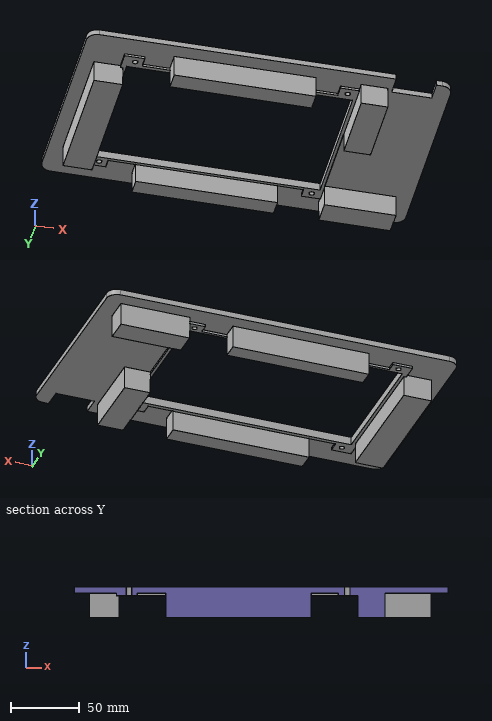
import cadquery as cq

plate_length = 271.4
plate_width = 158.2
plate_thickness = 4.7
corner_radius = 8.0

window_left = 34.9
window_right = 203.1
window_front = 28.6
window_back = 132.4

notch_left = 229.2
notch_right = 259.0
notch_depth = 15.0

total_height = 22.4
block_height = total_height - plate_thickness
blocks_left = 10.9
blocks_right = notch_right
blocks_front = 11.6
blocks_back = 147.3
left_block_inner = 32.5
left_block_front = 30.6
left_block_back = 129.3
middle_block_left = 66.3
middle_block_right = 172.0
front_block_inner = 25.4
back_block_inner = 134.7
right_blocks_inner = 205.6
front_right_block_end_x = 225.5
front_right_block_end_y = 67.0

rim_height = 1.8
pad_length = 15.2
pads_left = 30.6
pads_right = 206.6
pads_front = 16.9
pads_back = 142.1
hole_diameter = 3.8
hole_left = 39.7
hole_right = 198.1
hole_front = 22.2
hole_back = 137.4


def box_between(left, right, front, back, bottom, top):
    """Axis-aligned box given by its six faces."""
    size = (right - left, back - front, top - bottom)
    return cq.Workplane("XY").box(*size, centered=False).translate((left, front, bottom))


def make_plate():
    """Plate with rounded corners and the cable notch."""
    plate = box_between(0, plate_length, 0, plate_width, 0, plate_thickness)
    plate = plate.edges("|Z").fillet(corner_radius)
    notch = box_between(notch_left, notch_right, 0, notch_depth, 0, plate_thickness)
    return plate.cut(notch)


def make_blocks():
    """Left, front, back and two right-hand support blocks."""
    footprints = [
        (blocks_left, left_block_inner, left_block_front, left_block_back),
        (middle_block_left, middle_block_right, blocks_front, front_block_inner),
        (middle_block_left, middle_block_right, back_block_inner, blocks_back),
        (right_blocks_inner, front_right_block_end_x, blocks_front, front_right_block_end_y),
        (right_blocks_inner, blocks_right, left_block_back, blocks_back),
    ]
    return [box_between(*footprint, -block_height, 0) for footprint in footprints]


def make_rim():
    """Rim reaching out to the support blocks, and its four corner pads."""
    footprints = [(left_block_inner, right_blocks_inner, front_block_inner, back_block_inner)]
    for left, right in (
        (pads_left, pads_left + pad_length),
        (pads_right - pad_length, pads_right),
    ):
        footprints.append((left, right, pads_front, left_block_front))
        footprints.append((left, right, left_block_back, pads_back))
    return [box_between(*footprint, -rim_height, 0) for footprint in footprints]


def make_window():
    """Cutter for the window, through the plate and the rim."""
    return box_between(
        window_left, window_right, window_front, window_back, -rim_height, plate_thickness
    )


def make_holes():
    """Cutter for the four screw holes, through the plate and the pads."""
    centers = [(x, y) for x in (hole_left, hole_right) for y in (hole_front, hole_back)]
    return (
        cq.Workplane("XY", origin=(0, 0, -rim_height))
        .pushPoints(centers)
        .circle(hole_diameter / 2)
        .extrude(rim_height + plate_thickness)
    )


result = make_plate()
for body in make_rim() + make_blocks():
    result = result.union(body)
result = result.cut(make_window()).cut(make_holes())